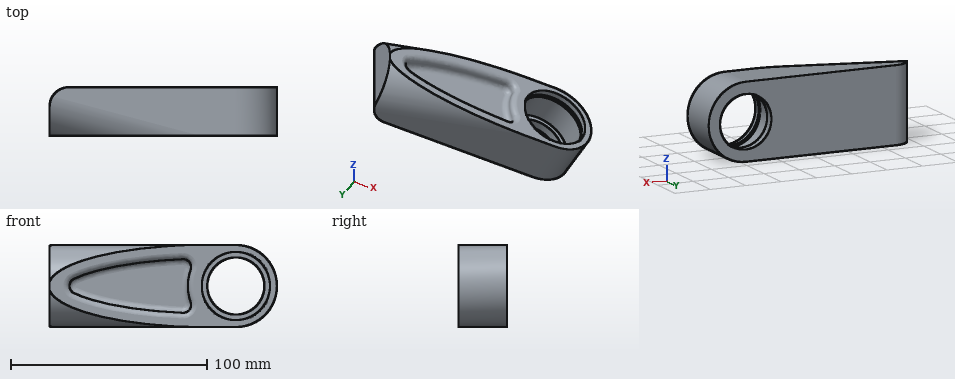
import cadquery as cq
import math

length = 116.0
thickness = 25.0
eye_radius = 21.0
eye_x = length - eye_radius
back_corner_radius = 10.0

side_line_x = 76.8
side_line_setback = 1.0
nose_angle = math.radians(15)
nose_radius = math.hypot(eye_radius, side_line_setback)
nose_length = nose_radius / math.sin(nose_angle)
nose_start_x = side_line_x + side_line_setback / math.sin(nose_angle)

bore_radius = 17.4
lip_radius = 14.5
lip_thickness = 5.0
groove_depth = 0.5
groove_width = 1.3
groove_offset = 4.0

blend_radius = 3.0
wall_land = 0.01
pocket_depth = 2 * blend_radius + wall_land
pocket_inset = 7.1
pocket_eye_radius = 24.5
pocket_corner_radius = 4.1
side_points = 12


def cylinder_y(x, start, end, radius):
    """Cylinder along Y centred at the given X."""
    return cq.Workplane("XZ", origin=(x, start, 0)).circle(radius).extrude(start - end)


def make_body():
    bar = cq.Workplane("XY").box(eye_x, thickness, 2 * eye_radius, centered=(False, False, True))
    bar = bar.edges("<X and >Y").fillet(back_corner_radius)
    return bar.union(cylinder_y(eye_x, 0, thickness, eye_radius))


def make_nose_waste():
    """Material in front of the leaning axis and outside the nose cylinder."""
    along = cq.Vector(-math.cos(nose_angle), math.sin(nose_angle), 0)
    plane = cq.Plane(origin=(nose_start_x, 0, 0), xDir=(-along.y, along.x, 0), normal=along)
    block = cq.Workplane(plane).center(length / 2, 0).rect(length, length).extrude(length)
    cylinder = cq.Workplane(plane).circle(nose_radius).extrude(length)
    return block.cut(cylinder)


def pocket_side_point(angle):
    """Point on the inward offset of the nose ellipse; angle is measured from the tip."""
    major = nose_length
    minor = nose_radius
    slope_length = math.hypot(minor * math.cos(angle), major * math.sin(angle))
    x = major * math.cos(angle) - pocket_inset * minor * math.cos(angle) / slope_length
    z = minor * math.sin(angle) - pocket_inset * major * math.sin(angle) / slope_length
    return nose_start_x - x, z


def make_pocket():
    tip_slope = pocket_inset * nose_length / nose_radius
    tip_angle = math.asin(math.sqrt((tip_slope**2 - nose_radius**2) / (nose_length**2 - nose_radius**2)))
    step = (math.pi / 2 - tip_angle) / side_points
    upper = [pocket_side_point(tip_angle + i * step) for i in range(side_points + 1)]
    lower = [(x, -z) for x, z in reversed(upper)]
    pocket = (
        cq.Workplane("XZ")
        .moveTo(*upper[0])
        .spline(upper[1:], includeCurrent=True)
        .lineTo(*lower[0])
        .spline(lower[1:], includeCurrent=True)
        .close()
        .extrude(-pocket_depth)
    )
    pocket = pocket.cut(cylinder_y(eye_x, 0, pocket_depth, pocket_eye_radius))
    upright = cq.selectors.BoxSelector(
        (0, pocket_depth / 4, -eye_radius),
        (length, 3 * pocket_depth / 4, eye_radius),
    )
    pocket = pocket.edges(upright).fillet(pocket_corner_radius)
    return pocket.faces(">Y").edges().fillet(blend_radius)


def cut_pocket(body):
    """Cut the pocket and round its rim outward."""
    body = body.cut(make_pocket())
    rim = body.faces("<Y").val().innerWires()[0].Edges()
    return body.newObject(rim).fillet(blend_radius)


def cut_bore(body):
    body = body.cut(cylinder_y(eye_x, 0, thickness - lip_thickness, bore_radius))
    body = body.cut(cylinder_y(eye_x, 0, thickness, lip_radius))
    groove_end = groove_offset + groove_width
    return body.cut(cylinder_y(eye_x, groove_offset, groove_end, bore_radius + groove_depth))


result = cut_bore(cut_pocket(make_body().cut(make_nose_waste())))